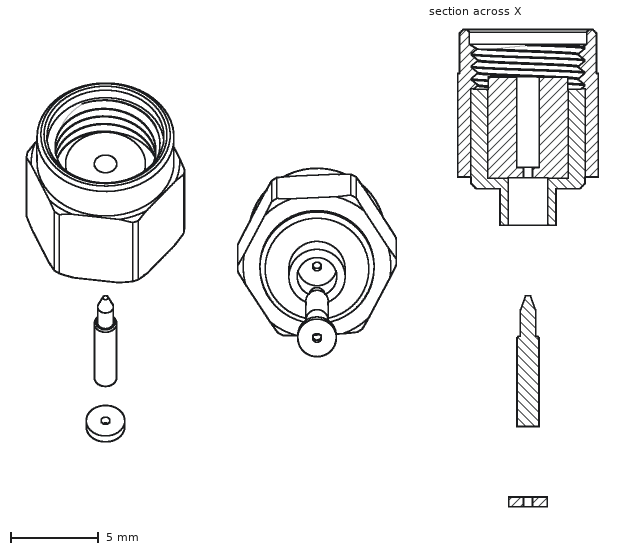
import cadquery as cq
import math


nut_top = 2.7
collar_diameter = 7.8
collar_length = 2.5
collar_chamfer = 0.22
hex_flats = 8.0
hex_corner_diameter = 9.04
hex_length = 5.9
hex_upper_face_diameter = 8.45
hex_upper_chamfer_height = 0.16
hex_lower_face_diameter = 8.4
hex_lower_chamfer_height = 0.25

rim_diameter = 7.0
rim_chamfer_height = 0.15
mouth_diameter = 6.66
mouth_depth = 0.85
thread_minor_diameter = 5.73
thread_major_diameter = 6.44
thread_lead_in = 0.27
thread_bottom = -0.7
thread_pitch = 0.7056
groove_mouth_width = 0.68
groove_root_width = 0.06
groove_overcut = 0.03
groove_runout = 0.35
groove_start_angle = 160

flange_diameter = 6.5
flange_overhang = 0.67
flange_chamfer = 0.3
tail_diameter = 3.2
tail_length = 2.08
cable_bore_diameter = 2.24

dielectric_diameter = 4.55
dielectric_floor = 0.6
wire_hole_diameter = 0.5

pin_diameter = 1.27
pin_length = 7.45
pin_shank_length = 5.15
pin_chamfer = 0.1
pin_nose_diameter = 0.9
pin_tip_diameter = 0.3
pin_tip_length = 0.85

disc_diameter = 2.2
disc_thickness = 0.56

exploded_gap = 4.0

thread_top = nut_top - mouth_depth
thread_length = thread_top - thread_bottom
hex_top = nut_top - collar_length
hex_bottom = hex_top - hex_length
flange_bottom = hex_bottom - flange_overhang
tail_bottom = flange_bottom - tail_length
pin_tip = tail_bottom - exploded_gap
pin_bottom = pin_tip - pin_length
disc_top = pin_bottom - exploded_gap
disc_bottom = disc_top - disc_thickness
dielectric_length = pin_shank_length + dielectric_floor


def cylinder(diameter, bottom, top):
    return cq.Workplane("XY").workplane(offset=bottom).circle(diameter / 2).extrude(top - bottom)


def revolve_profile(points):
    """Revolve (radius, z) points about the Z axis."""
    return cq.Workplane("XZ").polyline(points).close().revolve(360, (0, 0), (0, 1))


def make_hexagon():
    """Hexagon with corners rounded to a cylinder and turned chamfers at both ends."""
    prism = (
        cq.Workplane("XY")
        .workplane(offset=hex_bottom)
        .polygon(6, hex_flats / math.cos(math.pi / 6))
        .extrude(hex_length)
    )
    corner_radius = hex_corner_diameter / 2
    turned_envelope = revolve_profile([
        (0, hex_bottom),
        (hex_lower_face_diameter / 2, hex_bottom),
        (corner_radius, hex_bottom + hex_lower_chamfer_height),
        (corner_radius, hex_top - hex_upper_chamfer_height),
        (hex_upper_face_diameter / 2, hex_top),
        (0, hex_top),
    ])
    return prism.intersect(turned_envelope)


def make_thread_groove():
    """Right-hand V groove that runs out past both ends of the thread."""
    inner_radius = thread_minor_diameter / 2 - groove_overcut
    outer_radius = thread_major_diameter / 2
    start = thread_bottom - groove_runout
    helix = cq.Wire.makeHelix(thread_pitch, thread_length + 2 * groove_runout, inner_radius)
    section = cq.Workplane("XZ").polyline([
        (inner_radius, start - groove_mouth_width / 2),
        (outer_radius, start - groove_root_width / 2),
        (outer_radius, start + groove_root_width / 2),
        (inner_radius, start + groove_mouth_width / 2),
    ]).close()
    groove = section.sweep(cq.Workplane(helix.translate(cq.Vector(0, 0, start))), isFrenet=True)
    return groove.rotate((0, 0, 0), (0, 0, 1), groove_start_angle)


def make_nut():
    """Hexagon and collar with a clear bore for the flange, a thread and a plain mouth."""
    collar = cylinder(collar_diameter, hex_top, nut_top).faces(">Z").chamfer(collar_chamfer)
    minor_radius = thread_minor_diameter / 2
    mouth_radius = mouth_diameter / 2
    rim_radius = rim_diameter / 2
    bore = revolve_profile([
        (0, thread_bottom),
        (minor_radius, thread_bottom),
        (minor_radius, thread_top - thread_lead_in),
        (mouth_radius, thread_top),
        (mouth_radius, nut_top - rim_chamfer_height),
        (rim_radius, nut_top),
        (0, nut_top),
    ])
    nut = make_hexagon().union(collar)
    nut = nut.cut(cylinder(flange_diameter, hex_bottom, thread_bottom)).cut(bore)
    return nut.cut(make_thread_groove(), clean=False)


def make_body():
    flange = cylinder(flange_diameter, flange_bottom, thread_bottom).faces("<Z").chamfer(flange_chamfer)
    body = flange.union(cylinder(tail_diameter, tail_bottom, flange_bottom))
    body = body.cut(cylinder(dielectric_diameter, -dielectric_length, 0))
    return body.cut(cylinder(cable_bore_diameter, tail_bottom, -dielectric_length))


def make_dielectric():
    """Sleeve with a pocket for the pin shank and a floor that the wire passes through."""
    sleeve = cylinder(dielectric_diameter, -dielectric_length, 0)
    sleeve = sleeve.cut(cylinder(pin_diameter, -pin_shank_length, 0))
    return sleeve.cut(cylinder(wire_hole_diameter, -dielectric_length, -pin_shank_length))


def make_pin():
    shank_top = pin_bottom + pin_shank_length
    nose_radius = pin_nose_diameter / 2
    return revolve_profile([
        (0, pin_bottom),
        (pin_diameter / 2, pin_bottom),
        (pin_diameter / 2, shank_top - pin_chamfer),
        (pin_diameter / 2 - pin_chamfer, shank_top),
        (nose_radius, shank_top),
        (nose_radius, pin_tip - pin_tip_length),
        (pin_tip_diameter / 2, pin_tip),
        (0, pin_tip),
    ])


def make_disc():
    return cylinder(disc_diameter, disc_bottom, disc_top).cut(
        cylinder(wire_hole_diameter, disc_bottom, disc_top)
    )


nut = make_nut()
body = make_body()
dielectric = make_dielectric()
pin = make_pin()
disc = make_disc()

result = cq.Compound.makeCompound([
    nut.val(),
    body.val(),
    dielectric.val(),
    pin.val(),
    disc.val(),
])